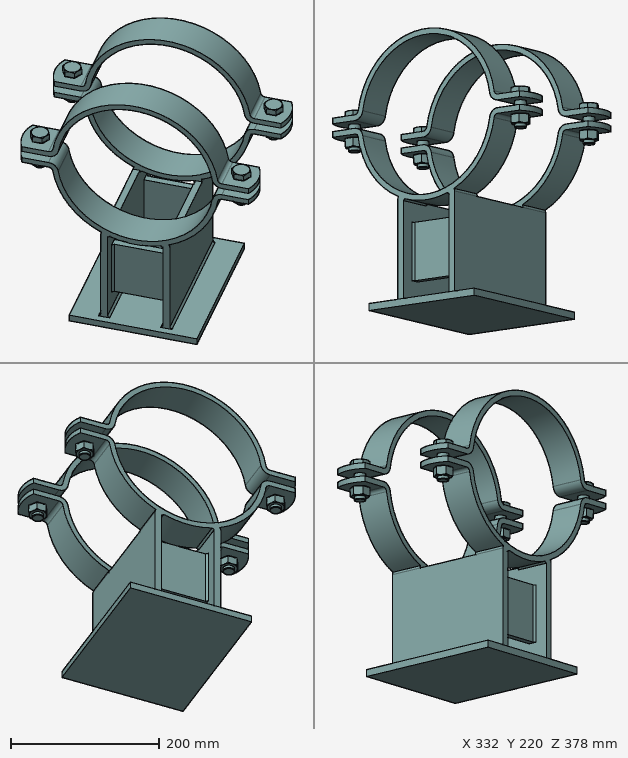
import cadquery as cq
import math

total_width = 332.0
total_height = 378.0

base_width = 180.0
base_depth = 220.0
base_thickness = 10.0

leg_outer_x = 48.7
leg_thickness = 10.0
leg_inner_x = leg_outer_x - leg_thickness
leg_depth = 200.0
leg_top_z = 149.3
leg_height = leg_top_z - base_thickness

cross_height = 80.0
cross_thickness = 10.0
cross_bottom_z = 39.3
cross_inset = 21.5

weld_leg = 3.0
clamp_weld_drop = 3.0
clamp_weld_width = 3.0
clamp_weld_slope_run = 1.0

ring_radius = 117.5
strap_thickness = 8.0
strap_width = 50.0
clamp_gap = 10.5
bend_radius = 6.0
tab_end_radius = 50.0
ring_center_z = total_height - ring_radius
ring_inner_radius = ring_radius - strap_thickness
clamp_y = (leg_depth - strap_width) / 2

bolt_x = 141.7
shank_diameter = 16.0
shank_tip_diameter = 14.7
shank_tip_length = 1.0
shank_below_tab = 18.5
hex_across_flats = 23.5
hex_chamfer_diameter = 23.0
hex_chamfer_angle = 30
washer_face_diameter = 22.0
washer_face_height = 0.8
head_height = 10.2
nut_height = 13.2

tab_inner_z = clamp_gap / 2
tab_outer_z = tab_inner_z + strap_thickness


def mirrored_pair(body):
    """The body together with its mirror image across the YZ plane."""
    return body.union(body.mirror("YZ"))


def ring_underside_z(x):
    """Height of the ring's outer surface, below its centre, at a given x."""
    return ring_center_z - math.sqrt(ring_radius**2 - x**2)


def base_plate():
    return cq.Workplane("XY").box(
        base_width, base_depth, base_thickness, centered=(True, True, False)
    )


def leg_with_base_welds():
    leg = (
        cq.Workplane("XY")
        .box(leg_thickness, leg_depth, leg_height, centered=(False, True, False))
        .translate((leg_inner_x, 0, base_thickness))
    )
    weld_top_z = base_thickness + weld_leg
    welds = (
        cq.Workplane("XZ")
        .moveTo(leg_inner_x - weld_leg, base_thickness)
        .lineTo(leg_outer_x + weld_leg, base_thickness)
        .lineTo(leg_outer_x, weld_top_z)
        .lineTo(leg_inner_x, weld_top_z)
        .close()
        .extrude(leg_depth / 2, both=True)
    )
    return leg.union(welds)


def cross_plate():
    """Cross plate at the -Y end, with welds along both edges of its outer face."""
    front_y = cross_inset - leg_depth / 2
    outline = (
        cq.Workplane("XY")
        .workplane(offset=cross_bottom_z)
        .moveTo(leg_inner_x, front_y + cross_thickness)
        .lineTo(leg_inner_x, front_y - weld_leg)
        .lineTo(leg_inner_x - weld_leg, front_y)
        .lineTo(weld_leg - leg_inner_x, front_y)
        .lineTo(-leg_inner_x, front_y - weld_leg)
        .lineTo(-leg_inner_x, front_y + cross_thickness)
        .close()
    )
    return outline.extrude(cross_height)


def half_strap():
    """Upper strap about the ring's centre: half ring, bent tabs and rounded tab ends."""
    bend_z = tab_outer_z + bend_radius
    bend_x = math.sqrt((ring_radius + bend_radius) ** 2 - bend_z**2)
    bend_angle = math.atan2(bend_z, bend_x)
    outer_bend_radius = bend_radius + strap_thickness
    mid_angle = (math.pi / 2 + bend_angle) / 2

    def bend_point(radius, angle):
        return bend_x - radius * math.cos(angle), bend_z - radius * math.sin(angle)

    def ring_point(radius):
        return radius * math.cos(bend_angle), radius * math.sin(bend_angle)

    diagonal = math.sqrt(0.5)
    half_width = strap_width / 2

    half_profile = (
        cq.Workplane("XZ")
        .moveTo(0, ring_radius)
        .threePointArc(
            (ring_radius * diagonal, ring_radius * diagonal),
            ring_point(ring_radius),
        )
        .threePointArc(bend_point(bend_radius, mid_angle), (bend_x, tab_outer_z))
        .lineTo(total_width / 2, tab_outer_z)
        .lineTo(total_width / 2, tab_inner_z)
        .lineTo(bend_x, tab_inner_z)
        .threePointArc(bend_point(outer_bend_radius, mid_angle), ring_point(ring_inner_radius))
        .threePointArc(
            (ring_inner_radius * diagonal, ring_inner_radius * diagonal),
            (0, ring_inner_radius),
        )
        .close()
    )
    strap = half_profile.extrude(half_width, both=True)

    end_rise = tab_end_radius - math.sqrt(tab_end_radius**2 - half_width**2)
    corner_x = total_width / 2 - end_rise
    end_outline = (
        cq.Workplane("XY")
        .moveTo(0, -half_width)
        .lineTo(corner_x, -half_width)
        .threePointArc((total_width / 2, 0), (corner_x, half_width))
        .lineTo(0, half_width)
        .close()
        .extrude(ring_radius)
    )
    return mirrored_pair(strap.intersect(end_outline))


def chamfered_hex(height):
    """Hexagon on a round washer face at z = 0, its top corners turned off by a cone."""
    corner_radius = hex_across_flats / math.sqrt(3)
    chamfer_radius = hex_chamfer_diameter / 2
    chamfer_drop = (corner_radius - chamfer_radius) * math.tan(math.radians(hex_chamfer_angle))
    hexagon = (
        cq.Workplane("XY")
        .workplane(offset=washer_face_height)
        .polygon(6, 2 * corner_radius)
        .extrude(height - washer_face_height)
    )
    washer_face = cq.Workplane("XY").circle(washer_face_diameter / 2).extrude(washer_face_height)
    turned = (
        cq.Workplane("XZ")
        .lineTo(corner_radius, 0)
        .lineTo(corner_radius, height - chamfer_drop)
        .lineTo(chamfer_radius, height)
        .lineTo(0, height)
        .close()
        .revolve(360, (0, 0), (0, 1))
    )
    return hexagon.intersect(turned).union(washer_face)


def bolt_with_nut():
    """Bolt and nut on the Z axis, clamping the tabs either side of z = 0."""
    head = chamfered_hex(head_height).translate((0, 0, tab_outer_z))
    nut = chamfered_hex(nut_height).mirror("XY").translate((0, 0, -tab_outer_z))
    shank_end_z = -tab_outer_z - shank_below_tab
    shank = (
        cq.Workplane("XZ")
        .moveTo(0, tab_outer_z)
        .lineTo(shank_diameter / 2, tab_outer_z)
        .lineTo(shank_diameter / 2, shank_end_z + shank_tip_length)
        .lineTo(shank_tip_diameter / 2, shank_end_z)
        .lineTo(0, shank_end_z)
        .close()
        .revolve(360, (0, 0), (0, 1))
    )
    return head.union(nut).union(shank)


def clamp_weld():
    """Weld joining a leg's top to the ring, filling the wedge on its outer side."""
    inside_x = leg_inner_x - clamp_weld_width
    outside_x = leg_outer_x - clamp_weld_slope_run
    weld = (
        cq.Workplane("XZ")
        .moveTo(leg_inner_x, leg_top_z - clamp_weld_drop)
        .lineTo(leg_outer_x, leg_top_z - clamp_weld_drop)
        .lineTo(leg_outer_x, leg_top_z)
        .lineTo(outside_x, ring_underside_z(outside_x))
        .threePointArc(
            (leg_inner_x, ring_underside_z(leg_inner_x)),
            (inside_x, ring_underside_z(inside_x)),
        )
        .close()
    )
    return weld.extrude(strap_width / 2, both=True)


def clamp():
    """Complete pipe clamp at y = 0 with both bolts and the welds to the legs."""
    upper = half_strap()
    body = upper.union(upper.mirror("XY"))
    body = body.union(mirrored_pair(bolt_with_nut().translate((bolt_x, 0, 0))))
    body = body.translate((0, 0, ring_center_z))
    return body.union(mirrored_pair(clamp_weld()))


result = base_plate().union(mirrored_pair(leg_with_base_welds()))
front_cross_plate = cross_plate()
result = result.union(front_cross_plate).union(front_cross_plate.mirror("XZ"))
for y in (-clamp_y, clamp_y):
    result = result.union(clamp().translate((0, y, 0)))